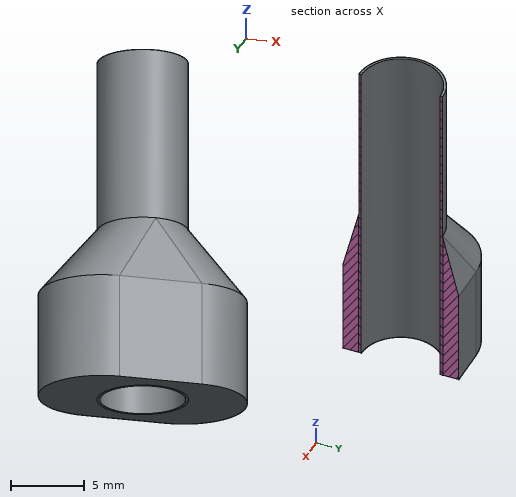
import cadquery as cq

TOTAL_HEIGHT = 24.0
COLLAR_LENGTH = 14.4
COLLAR_WIDTH = 8.6
SKIRT_HEIGHT = 7.2
COLLAR_HEIGHT = 12.0
TUBE_DIAMETER = 6.2
BORE_DIAMETER = 5.8

shoulder_height = COLLAR_HEIGHT - SKIRT_HEIGHT
end_radius = COLLAR_WIDTH / 2
end_offset = (COLLAR_LENGTH - COLLAR_WIDTH) / 2
tube_radius = TUBE_DIAMETER / 2


def make_shoulder_end(side):
    """Half of an oblique cone, from one round end of the skirt up to half of the tube."""
    return (
        cq.Workplane("XY", origin=(0, 0, SKIRT_HEIGHT))
        .moveTo(side * end_offset, -end_radius)
        .threePointArc((side * COLLAR_LENGTH / 2, 0), (side * end_offset, end_radius))
        .close()
        .workplane(offset=shoulder_height)
        .moveTo(0, -tube_radius)
        .threePointArc((side * tube_radius, 0), (0, tube_radius))
        .close()
        .loft(ruled=True, combine=True)
    )


def make_shoulder_wedge():
    """Wedge between the two shoulder ends, with a sloping triangle on the front and back."""
    ridge = (
        cq.Workplane("XZ")
        .polyline([(-end_offset, SKIRT_HEIGHT), (end_offset, SKIRT_HEIGHT), (0, COLLAR_HEIGHT)])
        .close()
        .extrude(end_radius, both=True)
    )
    taper = (
        cq.Workplane("YZ")
        .polyline([
            (-end_radius, SKIRT_HEIGHT),
            (end_radius, SKIRT_HEIGHT),
            (tube_radius, COLLAR_HEIGHT),
            (-tube_radius, COLLAR_HEIGHT),
        ])
        .close()
        .extrude(end_offset, both=True)
    )
    return ridge.intersect(taper)


def make_collar():
    """Oblong skirt and tapered shoulder, with a round hole that fits the tube."""
    collar = cq.Workplane("XY").slot2D(COLLAR_LENGTH, COLLAR_WIDTH).extrude(SKIRT_HEIGHT)
    collar = collar.union(make_shoulder_wedge())
    for side in (-1, 1):
        collar = collar.union(make_shoulder_end(side))
    tube_hole = cq.Workplane("XY").circle(tube_radius).extrude(COLLAR_HEIGHT)
    return collar.cut(tube_hole)


def make_tube():
    """Thin-walled tube over the full height of the ferrule."""
    return cq.Workplane("XY").circle(tube_radius).circle(BORE_DIAMETER / 2).extrude(TOTAL_HEIGHT)


collar = make_collar()
tube = make_tube()

result = cq.Compound.makeCompound([collar.solids().val(), tube.val()])